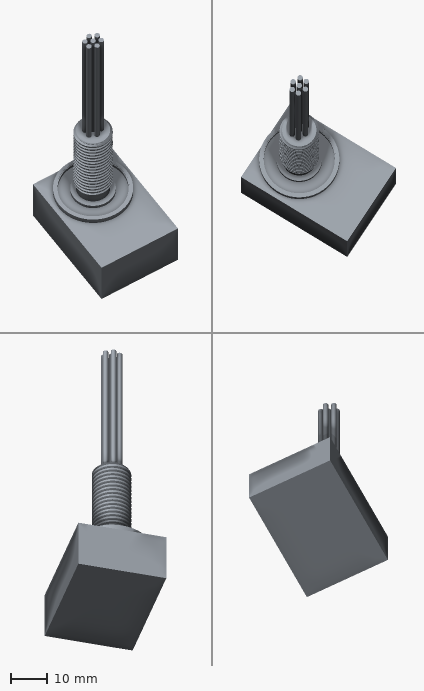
import cadquery as cq
import math

block_length = 34.5
block_width = 25.0
block_height = 14.0

flange_diameter = 22.0
flange_height = 1.5
recess_diameter = 19.5
recess_depth = 1.0
rim_step_diameter = 20.0
rim_step_depth = 0.1
boss_diameter = 12.5

neck_diameter = 9.4
neck_height = 3.0
stem_height = 26.0
thread_diameter = 10.8
thread_pitch = 1.27
thread_root_diameter = 9.8
root_flat = thread_pitch / 8
flank_angle = 30.0
groove_overrun = 0.15

wire_diameter = 1.5
wire_length = 40.0
wire_spacing = 2.0

flange_top = block_height + flange_height
thread_bottom = flange_top + neck_height
stem_top = flange_top + stem_height


def cylinder(diameter, bottom, top):
    return cq.Workplane("XY").workplane(offset=bottom).circle(diameter / 2).extrude(top - bottom)


def make_block():
    corner_x = -flange_diameter / 2
    block = cq.Workplane("XY").box(block_length, block_width, block_height, centered=(False, True, False))
    return block.translate((corner_x, 0, 0))


def make_recess():
    """Annular recess around the boss, with a shallow step round its outer rim."""
    recess = cylinder(recess_diameter, flange_top - recess_depth, flange_top)
    rim_step = cylinder(rim_step_diameter, flange_top - rim_step_depth, flange_top)
    boss = cylinder(boss_diameter, flange_top - recess_depth, flange_top)
    return recess.union(rim_step).cut(boss)


def make_thread():
    """Threaded length: a rod with a helical groove, cropped to length with chamfered ends."""
    rod = cylinder(thread_diameter, thread_bottom - thread_pitch, stem_top + thread_pitch)

    root_radius = thread_root_diameter / 2
    outer_radius = thread_diameter / 2 + groove_overrun
    half_root = root_flat / 2
    half_mouth = half_root + (outer_radius - root_radius) * math.tan(math.radians(flank_angle))
    helix = cq.Wire.makeHelix(thread_pitch, stem_top - thread_bottom, root_radius)
    groove = (
        cq.Workplane("XZ")
        .moveTo(root_radius, -half_root)
        .lineTo(outer_radius, -half_mouth)
        .lineTo(outer_radius, half_mouth)
        .lineTo(root_radius, half_root)
        .close()
        .sweep(cq.Workplane(obj=helix), isFrenet=True)
        .translate((0, 0, thread_bottom))
    )

    envelope_diameter = thread_diameter + 2 * groove_overrun
    end_chamfer = (envelope_diameter - neck_diameter) / 2
    envelope = cylinder(envelope_diameter, thread_bottom, stem_top).edges().chamfer(end_chamfer)
    return rod.cut(groove).intersect(envelope)


def make_wires():
    """Three wires in the middle row and two in each outer row."""
    half = wire_spacing / 2
    places = [(x, 0) for x in (-wire_spacing, 0, wire_spacing)]
    places += [(x, y) for x in (-half, half) for y in (-wire_spacing, wire_spacing)]
    return (
        cq.Workplane("XY")
        .workplane(offset=stem_top)
        .pushPoints(places)
        .circle(wire_diameter / 2)
        .extrude(wire_length)
    )


result = make_block().union(cylinder(flange_diameter, block_height, flange_top))
result = result.cut(make_recess())
result = result.union(cylinder(neck_diameter, flange_top, thread_bottom))
result = result.union(make_thread())
result = result.union(make_wires())